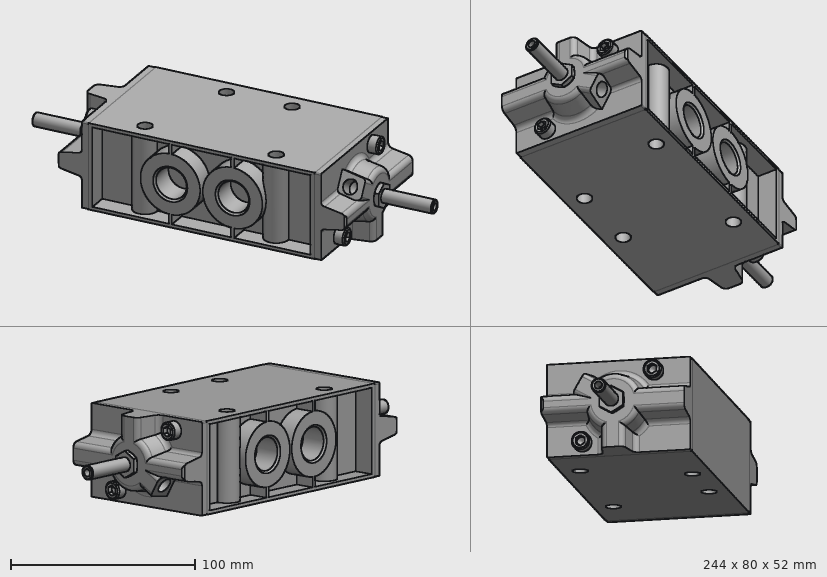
import cadquery as cq
import math

body_length = 138.0
body_width = 80.0
body_height = 52.0
body_half_length = body_length / 2
half_width = body_width / 2
half_height = body_height / 2

recess_side_wall = 2.1
recess_end_wall = 2.5

port_x = 19.0
port_boss_diameter = 36.4
port_diameter = 18.63
port_mouth_diameter = 21.0
port_depth = 16.0
rib_thickness = 2.0

mount_hole_diameter = 8.5
mount_front_x, mount_front_y = 40.0, -29.0
mount_rear_x, mount_rear_y = 20.0, 29.0
column_radius = 7.2

recess_depth = 11.6
recess_floor_y = -half_width + recess_depth

plate_corner_fillet = 0.6
plate_thickness = 4.0
relief_height = 15.0
draft = math.radians(10.0)
relief_fillet = 3.3
wide_tip_half_width = 6.1
narrow_tip_half_width = 4.55
narrow_base_fillet = 2.4
hub_tip_radius = 15.0
narrow_arm_chamfer_length = 1.5
narrow_arm_chamfer_height = 0.8

connection_angle = -120.0
connection_reach = 21.85
connection_tip_half_width = 5.9
connection_fillet = 2.3
connection_hole_diameter = 8.57
connection_hole_depth = 9.0
connection_hole_height = 7.0

screw_y, screw_z = 20.0, 19.0
screw_head_diameter = 10.0
screw_head_height = 6.1
screw_chamfer = 0.8
screw_socket_across_flats = 5.0
screw_socket_depth = 3.0

nut_across_flats = 13.0
nut_thickness = 3.1
nut_chamfer_height = 0.6
rod_diameter = 8.0
rod_chamfer = 0.55
rod_hole_diameter = 4.13
rod_hole_depth = 10.0
overall_length = 244.0

drill_point_half_angle = math.radians(59.0)

cover_seat = body_half_length + plate_thickness
relief_top = cover_seat + relief_height
rod_length = overall_length / 2 - relief_top


def hexagon_circumdiameter(across_flats):
    return across_flats / math.cos(math.radians(30))


def relief_flank(sketch, tip_half_width, base_fillet, tip_fillet):
    """Draw one drafted flank, from the plate at height 0 up to the edge of the tip face.

    tip_half_width is where the straight flank would meet the tip face if it were not rounded.
    """
    tangent_factor = math.tan(math.pi / 4 - draft / 2)
    base_half_width = tip_half_width + relief_height * math.tan(draft)

    def on_arc(center_w, center_h, radius, angle):
        return center_w + radius * math.cos(angle), center_h + radius * math.sin(angle)

    foot = base_half_width + base_fillet * tangent_factor
    sketch = sketch.lineTo(foot, 0)
    if base_fillet > 0:
        middle = math.pi + (math.pi / 2 + draft) / 2
        sketch = sketch.threePointArc(
            on_arc(foot, base_fillet, base_fillet, middle),
            on_arc(foot, base_fillet, base_fillet, math.pi + draft),
        )
    shoulder = tip_half_width - tip_fillet * tangent_factor
    shoulder_h = relief_height - tip_fillet
    return sketch.lineTo(*on_arc(shoulder, shoulder_h, tip_fillet, draft)).threePointArc(
        on_arc(shoulder, shoulder_h, tip_fillet, (draft + math.pi / 2) / 2),
        (shoulder, relief_height),
    )


def relief_arm(reach, tip_half_width, base_fillet=relief_fillet, tip_fillet=relief_fillet):
    """Arm along +X, standing on the XY plane, from the hub axis out to reach."""
    sketch = cq.Workplane("YZ").moveTo(0, 0)
    half = relief_flank(sketch, tip_half_width, base_fillet, tip_fillet).lineTo(0, relief_height).close()
    half = half.extrude(reach)
    return half.union(half.mirror("XZ"))


def relief_hub():
    sketch = cq.Workplane("XZ").moveTo(0, 0)
    profile = relief_flank(sketch, hub_tip_radius, relief_fillet, relief_fillet)
    return profile.lineTo(0, relief_height).close().revolve(360, (0, 0, 0), (0, 1, 0))


def narrow_arm():
    """Arm whose tip edge is chamfered at its outer end."""
    arm = relief_arm(half_width, narrow_tip_half_width, narrow_base_fillet)
    chamfer = (
        cq.Workplane("XZ")
        .moveTo(half_width, relief_height)
        .lineTo(half_width - narrow_arm_chamfer_length, relief_height)
        .lineTo(half_width, relief_height - narrow_arm_chamfer_height)
        .close()
        .extrude(narrow_tip_half_width, both=True)
    )
    return arm.cut(chamfer)


def drilled_hole(diameter, depth):
    """Cutter for a hole drilled down from the XY plane, ending in a drill point."""
    radius = diameter / 2
    point_height = radius / math.tan(drill_point_half_angle)
    return (
        cq.Workplane("XZ")
        .lineTo(radius, 0)
        .lineTo(radius, -depth)
        .lineTo(0, -depth - point_height)
        .close()
        .revolve(360, (0, 0, 0), (0, 1, 0))
    )


def connection_hole():
    hole = drilled_hole(connection_hole_diameter, connection_hole_depth)
    hole = hole.rotate((0, 0, 0), (0, 1, 0), 90)
    return hole.translate((connection_reach, 0, connection_hole_height))


def cap_screw():
    head = (
        cq.Workplane("XY")
        .circle(screw_head_diameter / 2)
        .extrude(screw_head_height)
        .faces(">Z").edges().chamfer(screw_chamfer)
        .faces(">Z").workplane()
        .polygon(6, hexagon_circumdiameter(screw_socket_across_flats))
        .cutBlind(-screw_socket_depth)
    )
    pilot = drilled_hole(screw_socket_across_flats, screw_socket_depth)
    return head.cut(pilot.translate((0, 0, screw_head_height)))


def nut():
    """Hexagon nut whose corners are chamfered on the side that meets the hub."""
    corner_diameter = hexagon_circumdiameter(nut_across_flats)
    hexagon = cq.Workplane("XY").polygon(6, corner_diameter).extrude(nut_thickness)
    envelope = (
        cq.Workplane("XY")
        .circle(corner_diameter / 2)
        .extrude(nut_thickness)
        .faces("<Z").edges().chamfer(nut_chamfer_height, (corner_diameter - nut_across_flats) / 2)
    )
    return hexagon.intersect(envelope)


def stem():
    rod = (
        cq.Workplane("XY")
        .circle(rod_diameter / 2)
        .extrude(rod_length)
        .faces(">Z").edges().chamfer(rod_chamfer)
    )
    rod = rod.cut(drilled_hole(rod_hole_diameter, rod_hole_depth).translate((0, 0, rod_length)))
    return nut().union(rod).translate((0, 0, relief_height))


def end_cover():
    """Left end cover, modelled upright (X = part Z, Z = outward) and then swung to the -X end."""

    def turned(shape, angle):
        return shape.rotate((0, 0, 0), (0, 0, 1), angle)

    connection = relief_arm(connection_reach, connection_tip_half_width, 0, connection_fillet)
    cover = (
        relief_hub()
        .union(relief_arm(half_height, wide_tip_half_width))
        .union(turned(relief_arm(half_width, wide_tip_half_width), 90))
        .union(turned(narrow_arm(), -90))
        .union(turned(connection, connection_angle))
        .cut(turned(connection_hole(), connection_angle))
        .union(stem())
    )
    for side in (1, -1):
        cover = cover.union(cap_screw().translate((side * screw_z, -side * screw_y, 0)))
    plate = cq.Workplane("XY").rect(body_height, body_width).extrude(plate_thickness)
    plate = plate.edges("|Z").fillet(plate_corner_fillet)
    cover = cover.union(plate.translate((0, 0, -plate_thickness)))
    return cover.translate((0, 0, cover_seat)).rotate((0, 0, 0), (0, 1, 0), -90)


def mount_column():
    """Round column about a front mounting hole, joined to the recess floor behind it."""
    web_depth = recess_floor_y - mount_front_y
    round_part = cq.Workplane("XY", origin=(0, 0, -half_height)).circle(column_radius).extrude(body_height)
    web = cq.Workplane("XY").box(2 * column_radius, web_depth, body_height, centered=(True, False, True))
    return round_part.union(web)


def valve_body():
    body = cq.Workplane("XY").box(body_length, body_width, body_height)
    recess_length = body_length - 2 * recess_end_wall
    recess_height = body_height - 2 * recess_side_wall
    floor = cq.Workplane("XZ", origin=(0, recess_floor_y, 0))
    body = body.cut(floor.rect(recess_length, recess_height).extrude(recess_depth))

    for side in (-1, 1):
        body = body.union(mount_column().translate((side * mount_front_x, mount_front_y, 0)))

        port_floor = floor.center(side * port_x, 0)
        body = body.union(port_floor.rect(rib_thickness, body_height).extrude(recess_depth))
        body = body.union(port_floor.circle(port_boss_diameter / 2).extrude(recess_depth))

    for side in (-1, 1):
        body = body.cut(port_bore().translate((side * port_x, 0, 0)))
        for x, y in ((mount_front_x, mount_front_y), (mount_rear_x, mount_rear_y)):
            hole = cq.Workplane("XY").center(side * x, y).circle(mount_hole_diameter / 2)
            body = body.cut(hole.extrude(half_height, both=True))
    return body


def port_bore():
    """Blind bore into the -Y face with a 45 degree countersunk mouth."""
    mouth_radius = port_mouth_diameter / 2
    bore_radius = port_diameter / 2
    face_y = -half_width
    return (
        cq.Workplane("XY")
        .moveTo(0, face_y)
        .lineTo(mouth_radius, face_y)
        .lineTo(bore_radius, face_y + mouth_radius - bore_radius)
        .lineTo(bore_radius, face_y + port_depth)
        .lineTo(0, face_y + port_depth)
        .close()
        .revolve(360, (0, 0, 0), (0, 1, 0))
    )


left_cover = end_cover()
right_cover = left_cover.rotate((0, 0, 0), (0, 1, 0), 180)

result = valve_body().union(left_cover, clean=False).union(right_cover, clean=False)